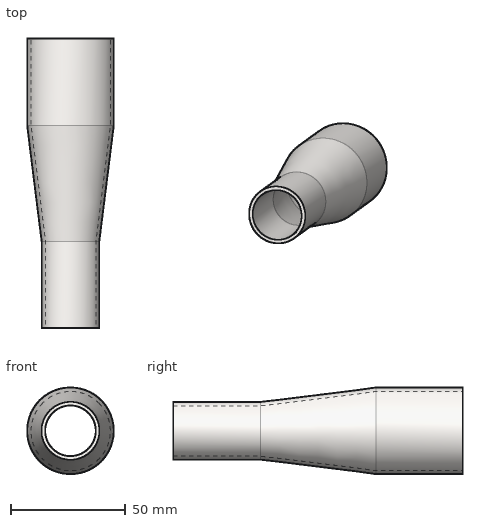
import cadquery as cq

total_length = 127.0
end_length = 38.1
wide_diameter = 38.1
narrow_diameter = 25.4
wall = 1.7

taper_start = end_length
taper_end = total_length - end_length


def revolved_body(narrow_radius, wide_radius):
    """Narrow cylinder, cone and wide cylinder as one solid about the Y axis."""
    return (
        cq.Workplane("XY")
        .moveTo(0, 0)
        .lineTo(narrow_radius, 0)
        .lineTo(narrow_radius, taper_start)
        .lineTo(wide_radius, taper_end)
        .lineTo(wide_radius, total_length)
        .lineTo(0, total_length)
        .close()
        .revolve(360, (0, 0, 0), (0, 1, 0))
    )


outer_body = revolved_body(narrow_diameter / 2, wide_diameter / 2)

bore = revolved_body(narrow_diameter / 2 - wall, wide_diameter / 2 - wall)

result = outer_body.cut(bore)